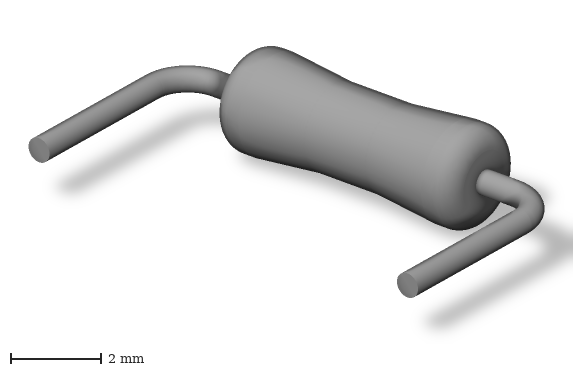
import cadquery as cq

overall_length = 11.1
wire_diameter = 0.6
bend_radius = 1.0
overall_depth = 6.25
body_length = 6.8
body_diameter = 2.5
waist_diameter = 2.11
end_round = 0.5
rim_width = 0.3

body_radius = body_diameter / 2
waist_radius = waist_diameter / 2
leg_reach = overall_depth - body_radius
wire_radius = wire_diameter / 2
half_body = body_length / 2
leg_x = overall_length / 2 - wire_radius
bend_start_x = leg_x - bend_radius
round_end_x = half_body - end_round
waist_end_x = round_end_x - rim_width


def make_wire():
    """One round lead that runs through the body and bends to -Y at both ends."""
    path = (
        cq.Workplane("XY")
        .moveTo(-leg_x, -leg_reach)
        .lineTo(-leg_x, -bend_radius)
        .tangentArcPoint((-bend_start_x, 0), relative=False)
        .lineTo(bend_start_x, 0)
        .tangentArcPoint((leg_x, -bend_radius), relative=False)
        .lineTo(leg_x, -leg_reach)
    )
    tip = cq.Workplane("XZ", origin=(-leg_x, -leg_reach, 0)).circle(wire_radius)
    return tip.sweep(path)


def make_body():
    """Waisted resistor body with rounded ends, bored to fit the wire."""
    profile = (
        cq.Workplane("XY")
        .moveTo(-half_body, wire_radius)
        .lineTo(-half_body, body_radius - end_round)
        .tangentArcPoint((-round_end_x, body_radius), relative=False)
        .lineTo(-waist_end_x, body_radius)
        .threePointArc((0, waist_radius), (waist_end_x, body_radius))
        .lineTo(round_end_x, body_radius)
        .tangentArcPoint((half_body, body_radius - end_round), relative=False)
        .lineTo(half_body, wire_radius)
        .close()
    )
    return profile.revolve(360, (0, 0, 0), (1, 0, 0))


body = make_body()
wire = make_wire()

result = cq.Compound.makeCompound([body.val(), wire.val()])